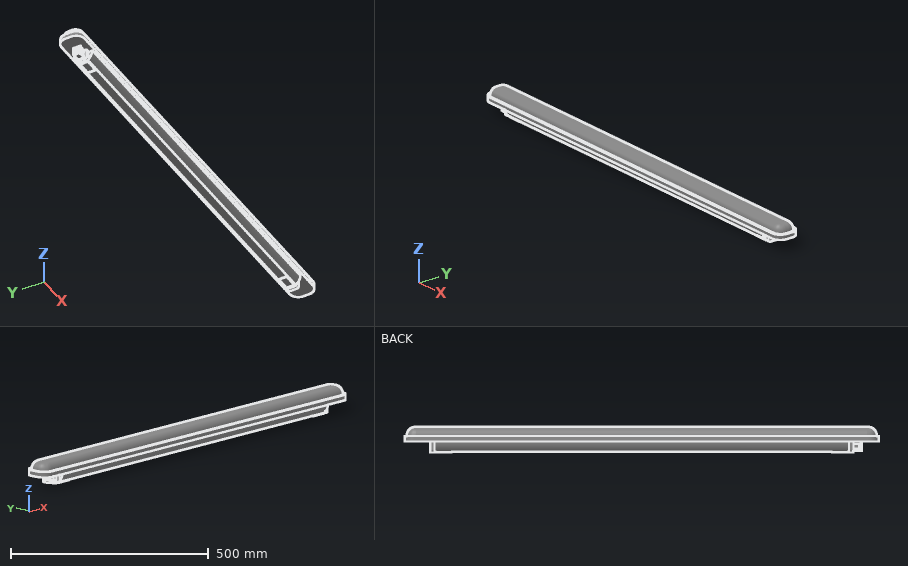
import cadquery as cq

length = 1200.0
width = 68.0
height = 66.0

rim_height = 15.0
cover_height = 24.0
corner_radius = 25.0
cover_inset = 5.0
cover_corner_radius = 24.0
cover_round = 23.4

housing_depth = height - rim_height - cover_height
foot_height = 1.8
channel_depth = housing_depth - foot_height
channel_top_width = 54.0
channel_middle_width = 47.0
channel_bottom_width = 28.0
cap_setback = 65.0
cap_length = 11.0
cap_width = 32.0
cap_round = 7.0
foot_gap = 4.0
foot_length = 40.0
foot_width = 24.0

connector_setback = 43.0
connector_width = 18.0
connector_depth = 23.0
flange_length = 4.0
flange_width = 22.0
flange_round = 4.0
groove_top = 6.0
groove_height = 11.0
groove_depth = 2.0
socket_width = 10.0
socket_top = 4.0
socket_height = 12.0
socket_length = 7.0
key_width = 2.0

cap_start = length / 2 - cap_setback
channel_end = cap_start - cap_length
connector_start = -length / 2 + connector_setback


def hanging_box(x_start, x_end, box_width, depth, top=0):
    """Box centred on Y that spans two X positions and hangs down from a Z level."""
    return (
        cq.Workplane("XY")
        .box(x_end - x_start, box_width, depth, centered=(False, True, False))
        .translate((x_start, 0, top - depth))
    )


def make_rim():
    return cq.Workplane("XY").rect(length, width).extrude(rim_height).edges("|Z").fillet(corner_radius)


def make_cover():
    return (
        cq.Workplane("XY", origin=(0, 0, rim_height))
        .rect(length - 2 * cover_inset, width - 2 * cover_inset)
        .extrude(cover_height)
        .edges("|Z")
        .fillet(cover_corner_radius)
        .faces(">Z")
        .edges()
        .fillet(cover_round)
    )


def make_channel():
    """Trough with bowed sides and a flat bottom."""
    top = channel_top_width / 2
    middle = channel_middle_width / 2
    bottom = channel_bottom_width / 2
    return (
        cq.Workplane("YZ", origin=(-channel_end, 0, 0))
        .moveTo(-top, 0)
        .threePointArc((-middle, -channel_depth / 2), (-bottom, -channel_depth))
        .lineTo(bottom, -channel_depth)
        .threePointArc((middle, -channel_depth / 2), (top, 0))
        .close()
        .extrude(2 * channel_end)
    )


def make_end_cap():
    cap = hanging_box(channel_end, cap_start, cap_width, housing_depth)
    return cap.edges("|X and <Z").fillet(cap_round)


def make_foot():
    foot_end = channel_end - foot_gap
    return hanging_box(foot_end - foot_length, foot_end, foot_width, foot_height, -channel_depth)


def make_connector():
    """Plug body with a groove along each side and a wider flange at its free end, where a keyed socket opens."""
    flange_end = connector_start + flange_length
    body = hanging_box(flange_end, -cap_start, connector_width, connector_depth)
    core_width = connector_width - 2 * groove_depth
    groove = hanging_box(flange_end, -cap_start, connector_width, groove_height, -groove_top)
    core = hanging_box(flange_end, -cap_start, core_width, groove_height, -groove_top)
    flange = hanging_box(connector_start, flange_end, flange_width, connector_depth)
    flange = flange.edges("|X and <Z").fillet(flange_round)
    socket_end = connector_start + socket_length
    socket = hanging_box(connector_start, socket_end, socket_width, socket_height, -socket_top)
    key = hanging_box(connector_start, socket_end, key_width, socket_height, -socket_top)
    return body.cut(groove).union(core).union(flange).cut(socket.cut(key))


result = make_rim().union(make_cover()).union(make_channel()).union(make_connector())
for end_part in (make_end_cap(), make_foot()):
    result = result.union(end_part).union(end_part.mirror("YZ"))